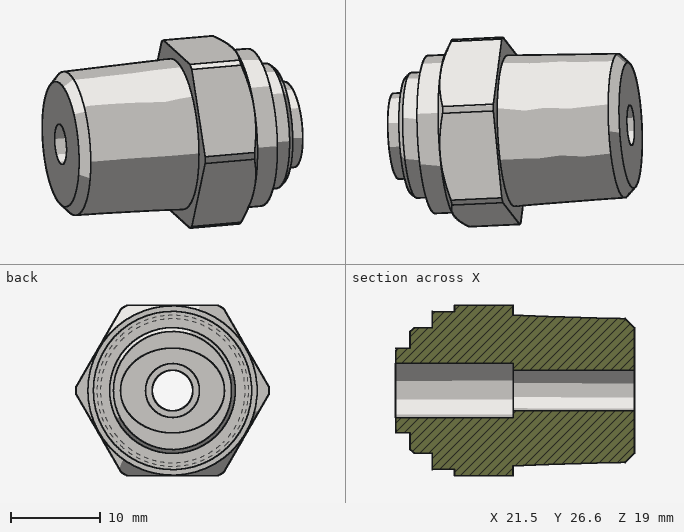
import cadquery as cq
import math

total_length = 26.6

thread_tip_diameter = 14.0
thread_chamfer_width = 1.05
thread_length = 13.5
thread_taper = 1 / 16

hex_across_flats = 19.0
hex_corner_diameter = 21.5
hex_length = 6.52
hex_chamfer_angle = 30
hex_chamfer_top_radius = 9.42

flange_diameter = 17.6
flange_length = 2.5
collar_diameter = 14.0
collar_length = 2.47
collar_chamfer_width = 0.43
collar_chamfer_length = 0.5

button_width = 11.57
button_height = 9.45
button_chamfer_top_radius = 4.12
button_chamfer_angle = 6

flow_bore_diameter = 4.5
tube_bore_diameter = 6.0

hex_end = thread_length + hex_length
flange_end = hex_end + flange_length
collar_end = flange_end + collar_length
button_length = total_length - collar_end


def plane_at(y):
    """XZ plane at height y, with its normal along +Y and its local x along X."""
    return cq.Workplane(cq.Plane(origin=(0, y, 0), xDir=(1, 0, 0), normal=(0, 1, 0)))


def cylinder(diameter, start, length):
    return plane_at(start).circle(diameter / 2).extrude(length)


def revolve_profile(points):
    """Revolve a closed outline of (radius, y) points about the Y axis."""
    return cq.Workplane("XY").polyline(points).close().revolve(360, (0, 0), (0, 1))


def chamfered_blank(radius, top_radius, angle, start, end):
    """Cylinder whose +Y end is cut by a cone inclined at the given angle to the end face."""
    drop = (radius - top_radius) * math.tan(math.radians(angle))
    return revolve_profile([(0, start), (radius, start), (radius, end - drop), (top_radius, end), (0, end)])


def make_thread():
    tip_radius = thread_tip_diameter / 2
    full_radius = tip_radius + thread_chamfer_width
    base_radius = full_radius + (thread_length - thread_chamfer_width) * thread_taper / 2
    return revolve_profile([
        (0, 0),
        (tip_radius, 0),
        (full_radius, thread_chamfer_width),
        (base_radius, thread_length),
        (0, thread_length),
    ])


def make_hex():
    sharp_corner_diameter = hex_across_flats / math.cos(math.radians(30))
    prism = plane_at(thread_length).polygon(6, sharp_corner_diameter).extrude(hex_length)
    return prism.intersect(chamfered_blank(
        hex_corner_diameter / 2, hex_chamfer_top_radius, hex_chamfer_angle, thread_length, hex_end))


def make_collar():
    return revolve_profile([
        (0, flange_end),
        (collar_diameter / 2, flange_end),
        (collar_diameter / 2, collar_end - collar_chamfer_length),
        (collar_diameter / 2 - collar_chamfer_width, collar_end),
        (0, collar_end),
    ])


def make_button():
    oval = plane_at(collar_end).ellipse(button_width / 2, button_height / 2).extrude(button_length)
    return oval.intersect(chamfered_blank(
        button_width / 2, button_chamfer_top_radius, button_chamfer_angle, collar_end, total_length))


body = make_thread().union(make_hex())
body = body.union(cylinder(flange_diameter, hex_end, flange_length))
body = body.union(make_collar()).union(make_button())

body = body.cut(cylinder(flow_bore_diameter, 0, total_length))
result = body.cut(cylinder(tube_bore_diameter, thread_length, total_length - thread_length))